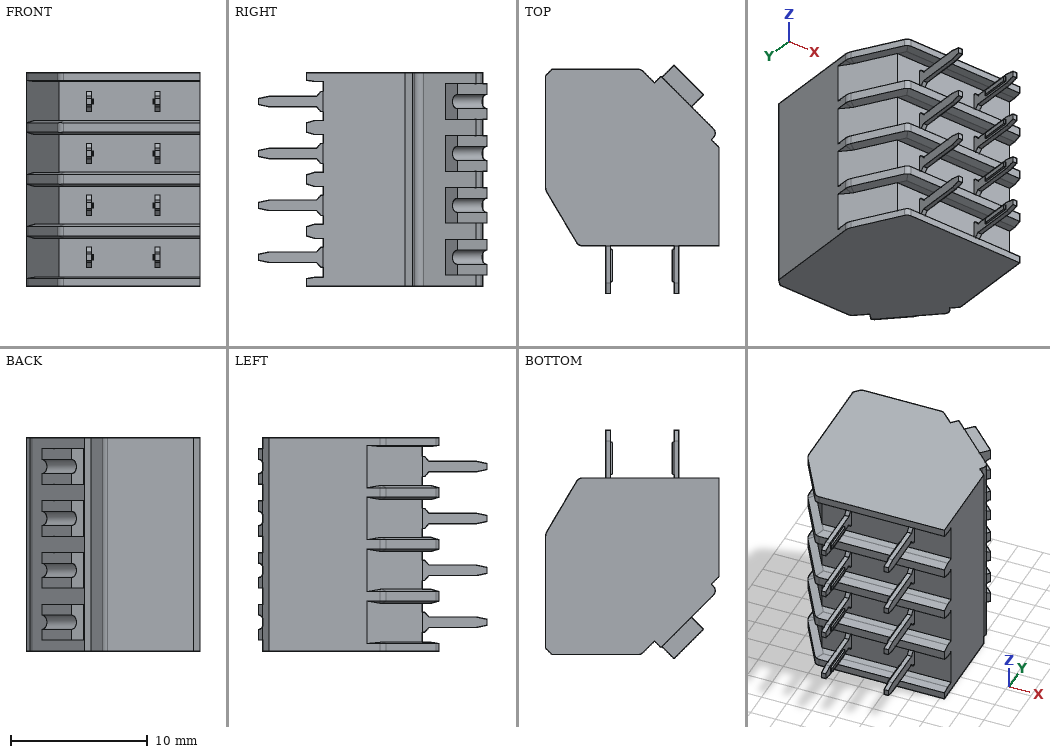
import cadquery as cq
import math

body_width = 12.7
body_depth = 12.92
body_height = 15.63
overall_depth = 16.72
bay_count = 4
bay_pitch = 3.8
back_left_chamfer = 0.48
lever_chamfer = 5.72
lever_chamfer_round = 0.5

slant_width = 2.42
slant_depth = 4.1
slant_upper_round = 0.9
slant_lower_round = 0.5

core_front_setback = 1.24
core_slant_setback = 1.19

rib_thickness = 0.69
rib_flare_height = 0.18
end_rib_thickness = 0.57
end_rib_flare_height = 0.1
flare_depth = 0.62

strip_start = -2.65
strip_end = 3.25
strip_thickness = 0.67
strip_round = 0.45
button_start = -2.54
button_end = 0.52
button_top = 1.92
button_width = 2.6
button_groove_radius = 0.52
sink_depth = 0.17

pin_left_x = 4.41
pin_spacing = 5.0
pin_thickness = 0.35
pin_taper_length = 0.79
pin_shank_y = 0.75
pin_shoulder_y = 1.07
pin_shoulder_width = 1.49
pin_shank_width = 0.79
pin_tip_width = 0.45
pin_embed = 0.33

bead_width = 0.37
bead_projection = 0.15
bead_start_y = -0.23
bead_end_y = -2.65
bead_chamfer = 0.08

mid_height = body_height / 2
first_bay_z = mid_height - (bay_count - 1) * bay_pitch / 2
bay_centers = [first_bay_z + i * bay_pitch for i in range(bay_count)]
rib_centers = [z + bay_pitch / 2 for z in bay_centers[:-1]]
chamfer_mid_x = body_width - lever_chamfer / 2
chamfer_mid_y = body_depth - lever_chamfer / 2
button_peak_y = chamfer_mid_y + (button_top - button_start) / math.sqrt(2)
pin_tip_y = button_peak_y - overall_depth
pin_taper_y = pin_tip_y + pin_taper_length
slant_angle = math.atan2(slant_depth, slant_width)


def body_outline():
    """Full-height prism of the plan outline that the ribs reach out to."""
    prism = (
        cq.Workplane("XY")
        .moveTo(slant_width, 0)
        .lineTo(body_width, 0)
        .lineTo(body_width, body_depth - lever_chamfer)
        .lineTo(body_width - lever_chamfer, body_depth)
        .lineTo(back_left_chamfer, body_depth)
        .lineTo(0, body_depth - back_left_chamfer)
        .lineTo(0, slant_depth)
        .close()
        .extrude(body_height)
    )
    rounded_corners = [
        (slant_width, 0, slant_lower_round),
        (0, slant_depth, slant_upper_round),
        (body_width - lever_chamfer, body_depth, lever_chamfer_round),
    ]
    for x, y, radius in rounded_corners:
        corner = cq.selectors.NearestToPointSelector((x, y, mid_height))
        prism = prism.edges(corner).fillet(radius)
    return prism


def core_region():
    """Prism covering everything behind the set-back slant and front faces."""
    slant_start_y = slant_depth + core_slant_setback
    front_corner_x = (slant_start_y - core_front_setback) / math.tan(slant_angle)
    return (
        cq.Workplane("XY")
        .moveTo(front_corner_x, core_front_setback)
        .lineTo(body_width, core_front_setback)
        .lineTo(body_width, body_depth)
        .lineTo(0, body_depth)
        .lineTo(0, slant_start_y)
        .close()
        .extrude(body_height)
    )


def rib_region(center_z, thickness, flare_height):
    """Plate with a flare on both faces, sloping in from its left, slant and front edges."""
    far_x = body_width + flare_depth
    far_y = body_depth + flare_depth
    corners = [(slant_width, 0), (far_x, 0), (far_x, far_y), (0, far_y), (0, slant_depth)]
    slant_top = cq.selectors.NearestToPointSelector((0, slant_depth, 0))
    outline = cq.Sketch().polygon(corners + corners[:1]).vertices(slant_top).fillet(slant_upper_round)
    flare_taper = math.degrees(math.atan2(flare_depth, flare_height))
    upper_plate = cq.Workplane("XY").placeSketch(outline).extrude(thickness / 2)
    upper_flare = (
        cq.Workplane("XY", origin=(0, 0, thickness / 2))
        .placeSketch(outline)
        .extrude(flare_height, taper=flare_taper)
    )
    upper_half = upper_plate.union(upper_flare)
    return upper_half.union(upper_half.mirror("XY")).translate((0, 0, center_z))


def housing():
    """Core and ribs, trimmed to the plan outline."""
    filled = core_region()
    for center_z in rib_centers:
        filled = filled.union(rib_region(center_z, rib_thickness, rib_flare_height))
    for center_z in (0, body_height):
        filled = filled.union(rib_region(center_z, 2 * end_rib_thickness, end_rib_flare_height))
    return body_outline().intersect(filled)


def chamfer_plane(z):
    """Plane with local x down the large chamfer, local y outwards and local z along +Z."""
    return cq.Plane(origin=(chamfer_mid_x, chamfer_mid_y, z), xDir=(1, -1, 0), normal=(0, 0, 1))


def chamfer_block(z_start, height, start, end, top):
    """Block standing on the large chamfer, sunk slightly below its surface."""
    return (
        cq.Workplane(chamfer_plane(z_start))
        .moveTo(start, -sink_depth)
        .lineTo(end, -sink_depth)
        .lineTo(end, top)
        .lineTo(start, top)
        .close()
        .extrude(height)
    )


def chamfer_strip():
    """Raised strip along the large chamfer, rounded at its lower end."""
    strip = chamfer_block(0, body_height, strip_start, strip_end, strip_thickness)
    outer_end = chamfer_plane(mid_height).toWorldCoords((strip_end, strip_thickness, 0))
    return strip.edges(cq.selectors.NearestToPointSelector(outer_end.toTuple())).fillet(strip_round)


def push_button(center_z):
    """Push button with a half-round groove running down the middle of its top."""
    block = chamfer_block(center_z - button_width / 2, button_width, button_start, button_end, button_top)
    plane = chamfer_plane(center_z)
    groove = cq.Solid.makeCylinder(
        button_groove_radius,
        button_end - button_start,
        plane.toWorldCoords((button_start, button_top, 0)),
        plane.xDir,
    )
    return block.cut(cq.Workplane(groove))


def solder_pin(left_x, bead_x, center_z):
    """Flat pin with a flared shoulder, a tapered tip and a bead half sunk into its face at bead_x."""
    half_profile = [
        (core_front_setback + pin_embed, pin_shoulder_width / 2),
        (pin_shoulder_y, pin_shoulder_width / 2),
        (pin_shank_y, pin_shank_width / 2),
        (pin_taper_y, pin_shank_width / 2),
        (pin_tip_y, pin_tip_width / 2),
    ]
    other_half = [(y, -z) for y, z in reversed(half_profile)]
    blade = (
        cq.Workplane("YZ", origin=(left_x, 0, center_z))
        .polyline(half_profile + other_half)
        .close()
        .extrude(pin_thickness)
    )
    bead = (
        cq.Workplane("XY", origin=(bead_x, (bead_start_y + bead_end_y) / 2, center_z))
        .box(2 * bead_projection, bead_start_y - bead_end_y, bead_width)
        .edges("|Z")
        .chamfer(bead_chamfer)
    )
    return blade.union(bead)


def pin_pair(center_z):
    """Two pins of one bay, with their beads facing each other."""
    right_x = pin_left_x + pin_spacing
    left_pin = solder_pin(pin_left_x, pin_left_x + pin_thickness, center_z)
    right_pin = solder_pin(right_x, right_x, center_z)
    return left_pin.union(right_pin)


result = housing().union(chamfer_strip())
for bay_z in bay_centers:
    result = result.union(push_button(bay_z))
    result = result.union(pin_pair(bay_z))